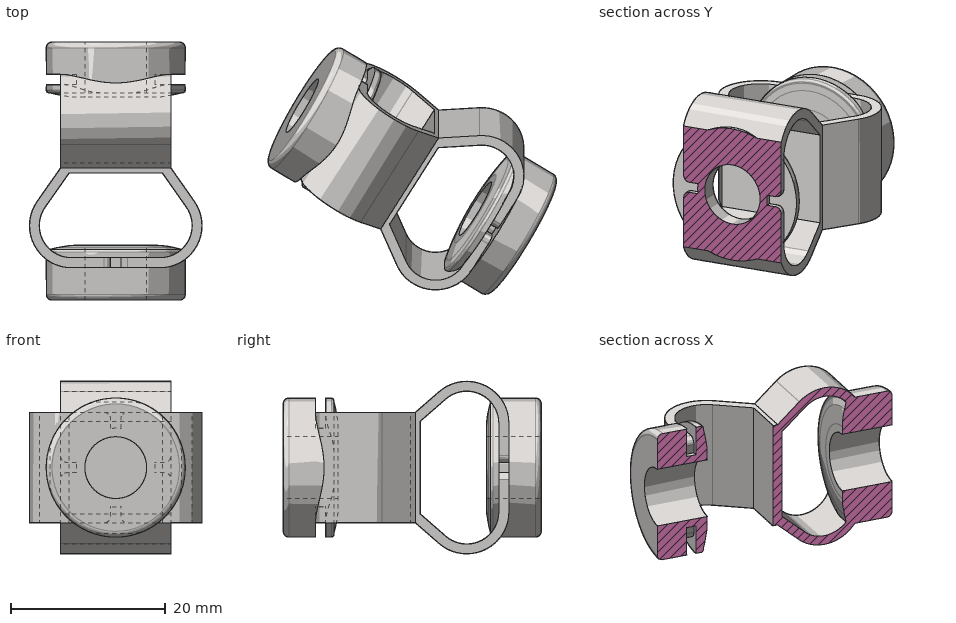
import cadquery as cq
import math

strap_width = 14.3
strap_thickness = 1.3
loop_width = 22.34
bend_radius = 5.45
front_loop_depth = 12.9
rear_loop_depth = 12.1

end_gap = 1.3
end_rounding = 0.9

grommet_radius = 9.0
bore_radius = 4.0
neck_radius = 5.1
outer_flange_thickness = 4.2
outer_rim_fillet = 0.75
inner_flange_thickness = 1.62
inner_rim_height = 1.08
inner_rim_fillet = 0.35
dome_base_radius = 8.5
dome_edge_radius = 6.37
dome_rounding = 10.0

half_strap = strap_width / 2
bend_center_x = loop_width / 2 - bend_radius


def loop_outline(depth, inset):
    """Closed loop in XY: wall on y = 0, outer flat on y = -depth, moved inward by inset.

    The wall itself moves by half the inset, because the two loops share it.
    """
    radius = bend_radius - inset
    center_y = bend_radius - depth
    corner_dx = half_strap - bend_center_x
    corner_dy = -center_y
    tangent_angle = math.atan2(corner_dy, corner_dx) - math.acos(
        bend_radius / math.hypot(corner_dx, corner_dy)
    )
    tangent_x = bend_center_x + radius * math.cos(tangent_angle)
    tangent_y = center_y + radius * math.sin(tangent_angle)
    wall_y = -inset / 2
    wall_x = tangent_x - (wall_y - tangent_y) * math.tan(tangent_angle)
    side_x = bend_center_x + radius
    flat_y = center_y - radius
    mid_offset = radius * math.sqrt(0.5)
    mid_x = bend_center_x + mid_offset
    mid_y = center_y - mid_offset
    tip_angle = tangent_angle / 2
    tip_x = bend_center_x + radius * math.cos(tip_angle)
    tip_y = center_y + radius * math.sin(tip_angle)
    return (
        cq.Workplane("XY")
        .moveTo(-wall_x, wall_y)
        .lineTo(wall_x, wall_y)
        .lineTo(tangent_x, tangent_y)
        .threePointArc((tip_x, tip_y), (side_x, center_y))
        .threePointArc((mid_x, mid_y), (bend_center_x, flat_y))
        .lineTo(-bend_center_x, flat_y)
        .threePointArc((-mid_x, mid_y), (-side_x, center_y))
        .threePointArc((-tip_x, tip_y), (-tangent_x, tangent_y))
        .close()
    )


def make_strap(depth):
    """Band of sheet bent to the loop outline."""
    outer = loop_outline(depth, 0).extrude(half_strap, both=True)
    inner = loop_outline(depth, strap_thickness).extrude(half_strap, both=True)
    return outer.cut(inner)


def make_end_gap(flat_y):
    """Gap between the rounded strap ends, up to the grommet neck on both sides."""
    mouth_half = end_gap / 2 + end_rounding
    mouth_z = half_strap - end_rounding
    gap = cq.Workplane("XZ", origin=(0, flat_y, 0)).rect(end_gap, strap_width).extrude(-strap_thickness)
    for side in (-1, 1):
        mouth = (
            cq.Workplane("XZ", origin=(0, flat_y, side * (mouth_z + end_rounding / 2)))
            .rect(2 * mouth_half, end_rounding)
            .extrude(-strap_thickness)
        )
        corners = (
            cq.Workplane("XZ", origin=(0, flat_y, side * mouth_z))
            .pushPoints([(-mouth_half, 0), (mouth_half, 0)])
            .circle(end_rounding)
            .extrude(-strap_thickness)
        )
        gap = gap.union(mouth.cut(corners))
    neck = cq.Workplane("XZ", origin=(0, flat_y, 0)).circle(neck_radius).extrude(-strap_thickness)
    return gap.cut(neck)


def make_outer_flange(flat_y):
    """Thick disc outside the strap, with a rounded outer rim."""
    return (
        cq.Workplane("XZ", origin=(0, flat_y, 0))
        .circle(grommet_radius)
        .extrude(outer_flange_thickness)
        .faces("<Y")
        .edges()
        .fillet(outer_rim_fillet)
    )


def make_filler(flat_y):
    """Grommet body inside the strap width, closing the space up to the bends."""
    disc = cq.Workplane("XZ", origin=(0, flat_y, 0)).circle(grommet_radius).extrude(-strap_thickness)
    strap_band = cq.Workplane("XY").box(loop_width, -2 * flat_y, strap_width)
    return disc.intersect(strap_band)


def make_inner_flange(flat_y):
    """Domed disc inside the loop, with a rounded rim and a flat land around the bore."""
    base_y = flat_y + strap_thickness
    rim_disc = (
        cq.Workplane("XZ", origin=(0, base_y, 0))
        .circle(grommet_radius)
        .extrude(-inner_rim_height)
        .faces(">Y")
        .edges()
        .fillet(inner_rim_fillet)
    )
    dome = (
        cq.Workplane("XY", origin=(0, base_y, 0))
        .lineTo(dome_base_radius, 0)
        .lineTo(dome_base_radius, inner_rim_height)
        .lineTo(dome_edge_radius, inner_flange_thickness)
        .lineTo(0, inner_flange_thickness)
        .close()
        .revolve(360, (0, 0, 0), (0, 1, 0))
        .faces(">Y")
        .edges()
        .fillet(dome_rounding)
    )
    return rim_disc.union(dome)


def make_half(depth):
    """One loop with its grommet, on the -Y side of the shared wall."""
    half = (
        make_strap(depth)
        .union(make_filler(-depth))
        .union(make_outer_flange(-depth))
        .union(make_inner_flange(-depth))
        .cut(make_end_gap(-depth))
    )
    bore_length = outer_flange_thickness + strap_thickness + inner_flange_thickness
    bore = (
        cq.Workplane("XZ", origin=(0, -depth - outer_flange_thickness, 0))
        .circle(bore_radius)
        .extrude(-bore_length)
    )
    return half.cut(bore)


front_half = make_half(front_loop_depth)
rear_half = (
    make_half(rear_loop_depth)
    .rotate((0, 0, 0), (0, 0, 1), 180)
    .rotate((0, 0, 0), (0, 1, 0), 90)
)

result = front_half.union(rear_half)